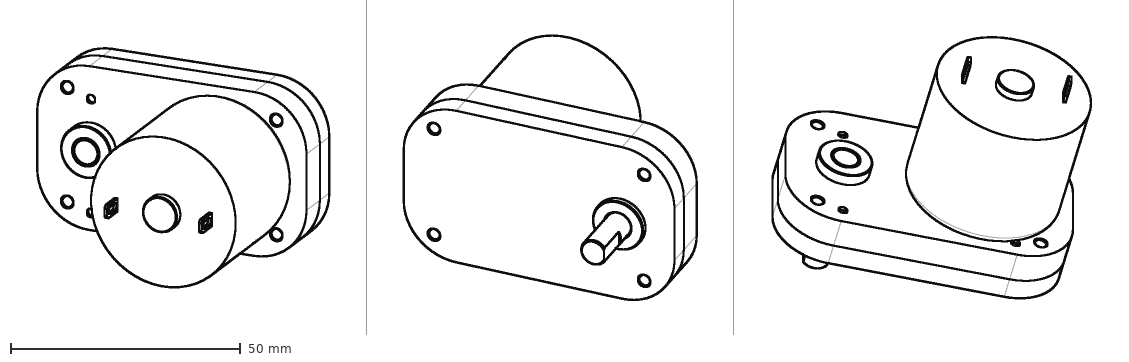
import cadquery as cq


case_length = 64.4
case_height = 38.0
case_corner_radius = 12.5
base_thickness = 7.0
cover_thickness = 5.0
case_thickness = base_thickness + cover_thickness

mount_hole_diameter = 2.5
mount_hole_chamfer = 0.25
mount_pitch_x = 50.0
mount_pitch_z = 26.55

locating_hole_diameter = 2.0
locating_hole_depth = 0.8
locating_hole_x = 19.3
upper_locating_hole_z = 11.4
lower_locating_hole_z = -15.0
locating_hole_places = [
    (-locating_hole_x, upper_locating_hole_z),
    (-locating_hole_x, lower_locating_hole_z),
    (locating_hole_x, lower_locating_hole_z),
]

shaft_x = -19.3
shaft_diameter = 6.05
shaft_reach = 14.5
shaft_end_chamfer = 0.25
flat_length = 8.0
flat_depth = 0.5
bushing_diameter = 12.0
base_bushing_reach = 2.7
cover_bushing_reach = 1.4
bushing_outer_chamfer = 0.2
bushing_bore_chamfer = 0.25

shaft_to_motor = 31.0
motor_x = shaft_x + shaft_to_motor
motor_diameter = 34.6
motor_length = 30.0
motor_fillet = 2.0
end_boss_diameter = 8.1
end_boss_length = 2.0
end_boss_chamfer = 0.2

terminal_pitch = 22.55
terminal_thickness = 0.65
terminal_width = 3.0
terminal_length = 5.5
terminal_corner_chamfer = 0.65
terminal_slot_length = 4.2
terminal_slot_width = 1.6
terminal_slot_tip_wall = 0.7


def section_plane(y):
    """Plane across the Y axis: local x is X, local y is Z, and the normal is -Y."""
    return cq.Workplane("XZ", origin=(0, y, 0))


def cylinder(x, diameter, y_low, y_high):
    """Round bar parallel to Y between two Y positions, centred at the given X."""
    return section_plane(y_high).center(x, 0).circle(diameter / 2).extrude(y_high - y_low)


def make_case_half(y_low, y_high, chamfered_face):
    """Rounded slab with the mounting holes and the bushing bore."""
    thickness = y_high - y_low
    slab = (
        section_plane(y_high)
        .rect(case_length, case_height)
        .extrude(thickness)
        .edges("|Y")
        .fillet(case_corner_radius)
    )
    mount_holes = (
        section_plane(y_high)
        .rect(mount_pitch_x, mount_pitch_z, forConstruction=True)
        .vertices()
        .circle(mount_hole_diameter / 2)
        .extrude(thickness)
    )
    slab = slab.cut(mount_holes).faces(chamfered_face).edges("%CIRCLE")
    slab = slab.filter(lambda edge: edge.IsClosed()).chamfer(mount_hole_chamfer)
    return slab.cut(cylinder(shaft_x, bushing_diameter, y_low, y_high))


def make_gearbox_base():
    """Motor-side gearbox half, with the blind locating holes."""
    locating_holes = (
        section_plane(locating_hole_depth)
        .pushPoints(locating_hole_places)
        .circle(locating_hole_diameter / 2)
        .extrude(locating_hole_depth)
    )
    return make_case_half(0, base_thickness, "<Y").cut(locating_holes)


def make_gearbox_cover():
    """Shaft-side gearbox half."""
    return make_case_half(base_thickness, case_thickness, ">Y")


def make_bushing(y_low, y_high, exposed_face):
    """Sleeve around the shaft, chamfered outside and inside at its exposed end."""
    is_bore = cq.selectors.RadiusNthSelector(0)
    is_rim = cq.selectors.RadiusNthSelector(1)
    sleeve = cylinder(shaft_x, bushing_diameter, y_low, y_high)
    sleeve = sleeve.cut(cylinder(shaft_x, shaft_diameter, y_low, y_high))
    sleeve = sleeve.faces(exposed_face).edges(is_rim).chamfer(bushing_outer_chamfer)
    return sleeve.faces(exposed_face).edges(is_bore).chamfer(bushing_bore_chamfer)


def make_shaft():
    """Output shaft with a flat on the -X side of its free end."""
    tip_y = case_thickness + shaft_reach
    shaft = cylinder(shaft_x, shaft_diameter, -base_bushing_reach, tip_y)
    shaft = shaft.faces("<Y or >Y").edges().chamfer(shaft_end_chamfer)
    flat_cutter = cq.Workplane("XY").box(flat_depth, flat_length, shaft_diameter)
    flat_centre_x = shaft_x - shaft_diameter / 2 + flat_depth / 2
    return shaft.cut(flat_cutter.translate((flat_centre_x, tip_y - flat_length / 2, 0)))


def make_motor():
    """Motor can with a rounded edge against the gearbox."""
    can = cylinder(motor_x, motor_diameter, -motor_length, 0)
    return can.faces(">Y").edges().fillet(motor_fillet)


def make_end_boss():
    """Round boss on the free end of the motor."""
    boss = cylinder(motor_x, end_boss_diameter, -motor_length - end_boss_length, -motor_length)
    return boss.faces("<Y").edges().chamfer(end_boss_chamfer)


def make_terminal(x):
    """Slotted tab standing on the free end of the motor."""
    tip_y = -motor_length - terminal_length
    slot_centre_y = tip_y + terminal_slot_tip_wall + terminal_slot_length / 2
    tab = (
        cq.Workplane("XY")
        .box(terminal_thickness, terminal_length, terminal_width)
        .translate((x, -motor_length - terminal_length / 2, 0))
        .faces("<Y")
        .edges("|X")
        .chamfer(terminal_corner_chamfer)
    )
    slot = (
        cq.Workplane("YZ", origin=(x, slot_centre_y, 0))
        .slot2D(terminal_slot_length, terminal_slot_width)
        .extrude(terminal_thickness, both=True)
    )
    return tab.cut(slot)


gearbox_base = make_gearbox_base()
gearbox_cover = make_gearbox_cover()
base_bushing = make_bushing(-base_bushing_reach, base_thickness, "<Y")
cover_bushing = make_bushing(base_thickness, case_thickness + cover_bushing_reach, ">Y")
shaft = make_shaft()
motor = make_motor()
end_boss = make_end_boss()
terminals = [make_terminal(motor_x + side * terminal_pitch / 2) for side in (-1, 1)]

result = cq.Compound.makeCompound([
    gearbox_base.val(),
    gearbox_cover.val(),
    base_bushing.val(),
    cover_bushing.val(),
    shaft.val(),
    motor.val(),
    end_boss.val(),
    *[terminal.val() for terminal in terminals],
])